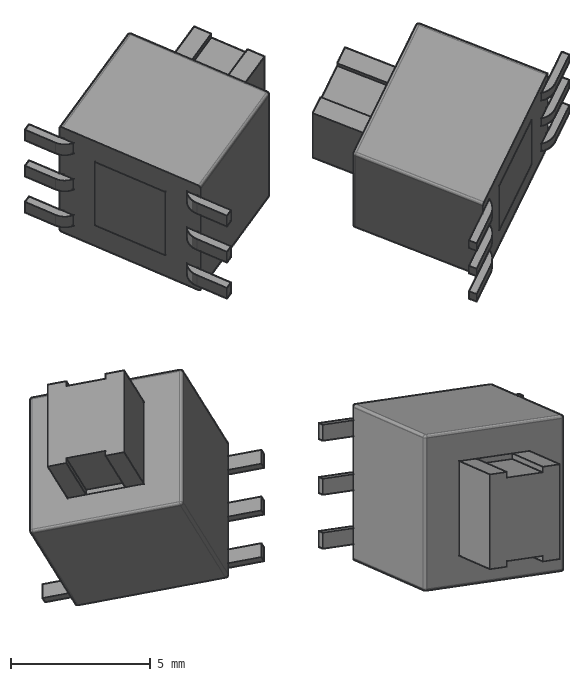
import cadquery as cq
import math


total_width = 8.3
total_depth = 7.6

housing_side = 5.8
housing_depth = 5.11
edge_radius = 0.11

lead_thickness = 0.3
lead_width = 0.6
lead_pitch = 2.0
lead_rows = 3
bend_outer_radius = 0.7
bend_angle = 90
bend_inner_radius = bend_outer_radius - lead_thickness
foot_length = (total_width - housing_side) / 2

button_width = 2.9
button_height = 3.51
button_front = total_depth - lead_thickness
groove_width = 1.485
groove_depth = 0.21
groove_length = button_front - housing_depth


def block(width, y_start, y_end, height):
    """Box centred on X and Z, reaching from y_start to y_end."""
    centre_y = (y_start + y_end) / 2
    return cq.Workplane("XY").box(width, y_end - y_start, height).translate((0, centre_y, 0))


def make_housing(leads):
    """Block, rounded except around its rear face, with a button hole and recesses fitting the leads."""
    body = block(housing_side, 0, housing_depth, housing_side)
    body = body.edges("|Y or >Y").fillet(edge_radius)
    button_hole = block(button_width, 0, housing_depth, button_height)
    body = body.cut(button_hole)
    for lead in leads:
        body = body.cut(lead)
    return body


def make_button():
    """Rectangular bar, flush with the rear face, grooved above and below where it sticks out."""
    button = block(button_width, 0, button_front, button_height)
    groove = cq.Workplane("XY").box(groove_width, groove_length, groove_depth)
    groove_y = housing_depth + groove_length / 2
    groove_z = (button_height - groove_depth) / 2
    for side in (-1, 1):
        button = button.cut(groove.translate((0, groove_y, side * groove_z)))
    return button


def make_lead(side, row_z):
    """Flat foot beside the housing, then a quarter bend into it; side is -1 or +1 along X."""
    bend_start_x = housing_side / 2
    foot_tip_x = bend_start_x + foot_length

    def bend_point(radius, angle_degrees):
        angle = math.radians(angle_degrees)
        x = bend_start_x - radius * math.sin(angle)
        y = bend_inner_radius - radius * math.cos(angle)
        return (side * x, y)

    bend_angles = (0, bend_angle / 2, bend_angle)
    outer_start, outer_middle, outer_end = [bend_point(bend_outer_radius, angle) for angle in bend_angles]
    inner_start, inner_middle, inner_end = [bend_point(bend_inner_radius, angle) for angle in bend_angles]

    profile = (
        cq.Workplane("XY")
        .moveTo(side * foot_tip_x, 0)
        .lineTo(side * foot_tip_x, -lead_thickness)
        .lineTo(*outer_start)
        .threePointArc(outer_middle, outer_end)
        .lineTo(*inner_end)
        .threePointArc(inner_middle, inner_start)
        .close()
    )
    return profile.extrude(lead_width / 2, both=True).translate((0, 0, row_z))


leads = []
for row in range(lead_rows):
    row_z = (row - (lead_rows - 1) / 2) * lead_pitch
    for side in (-1, 1):
        leads.append(make_lead(side, row_z))

housing = make_housing(leads)
button = make_button()

bodies = [housing, button, *leads]
result = cq.Compound.makeCompound([body.solids().val() for body in bodies])